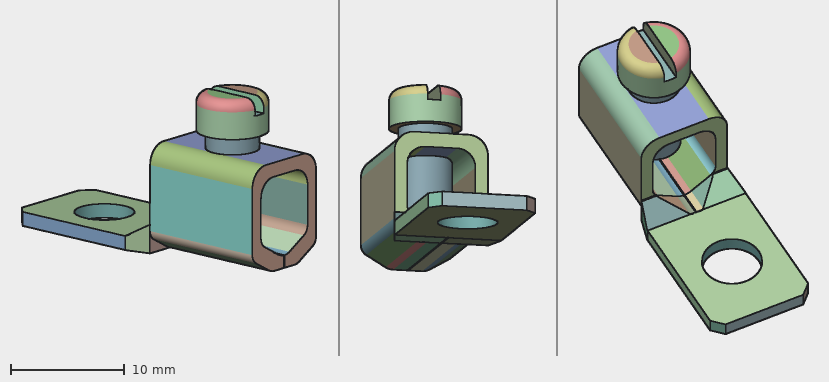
import cadquery as cq
import math

total_length = 27.4
hole_axis_y = -0.08
seam_gap = 0.08

tongue_length = 13.02
tongue_width = 9.7
tongue_thickness = 1.3
tongue_chamfer = 1.01
stud_hole_diameter = 5.3
stud_hole_x = 6.38

sleeve_length = 12.0
sleeve_width = 8.5
sleeve_height = 9.9
side_wall = 1.15
top_wall = 1.3
floor_thickness = 1.15
floor_slope = math.radians(30)
outer_top_radius = 1.8
inner_top_radius = 1.65
knee_radius = 1.0
floor_radius = 1.37
outer_knee_z = 1.48
sleeve_start = total_length - sleeve_length

wedge_height = 2.58
wedge_land = 0.1

screw_x = total_length - sleeve_length / 2
shank_diameter = 4.77
head_diameter = 6.4
shank_bottom_z = 2.47
head_bottom_z = 11.5
head_top_z = 15.0
head_radius = 1.0
slot_width = 1.15
slot_depth = 1.5


def extrude_along_x(points, x_start, x_end):
    """Prism with the given (y, z) outline between two X positions."""
    return cq.Workplane("YZ", origin=(x_start, 0, 0)).polyline(points).close().extrude(x_end - x_start)


def round_edges_at(body, height, radius):
    """Round the edges that run along X at the given height."""
    tolerance = 0.003
    edges = body.edges("|X").filter(lambda edge: abs(edge.Center().z - height) < tolerance)
    return body.newObject(edges.vals()).fillet(radius)


def make_bore():
    """Inside space of the sleeve, which also runs through the wedges."""
    half_width = sleeve_width / 2 - side_wall
    rounding_rise = floor_radius * (1 / math.cos(floor_slope) - 1)
    valley_z = floor_thickness - rounding_rise
    knee_z = valley_z + half_width * math.tan(floor_slope)
    ceiling_z = sleeve_height - top_wall
    outline = [
        (0, valley_z),
        (half_width, knee_z),
        (half_width, ceiling_z),
        (-half_width, ceiling_z),
        (-half_width, knee_z),
    ]
    bore = extrude_along_x(outline, tongue_length, total_length)
    bore = round_edges_at(bore, ceiling_z, inner_top_radius)
    bore = round_edges_at(bore, knee_z, knee_radius)
    return round_edges_at(bore, valley_z, floor_radius)


def make_tongue():
    tongue = cq.Workplane("XY").box(
        tongue_length, tongue_width, tongue_thickness, centered=(False, True, False)
    )
    tongue = tongue.edges("|Z and <X").chamfer(tongue_chamfer)
    hole = (
        cq.Workplane("XY")
        .center(stud_hole_x, hole_axis_y)
        .circle(stud_hole_diameter / 2)
        .extrude(tongue_thickness)
    )
    return tongue.cut(hole)


def make_sleeve(bore):
    half_width = sleeve_width / 2
    foot_y = half_width - outer_knee_z / math.tan(floor_slope)
    outline = [
        (foot_y, 0),
        (half_width, outer_knee_z),
        (half_width, sleeve_height),
        (-half_width, sleeve_height),
        (-half_width, outer_knee_z),
        (-foot_y, 0),
    ]
    sleeve = extrude_along_x(outline, sleeve_start, total_length)
    sleeve = round_edges_at(sleeve, sleeve_height, outer_top_radius)
    sleeve = round_edges_at(sleeve, outer_knee_z, knee_radius)
    sleeve = round_edges_at(sleeve, 0, floor_radius)
    seam = cq.Workplane("XY", origin=(sleeve_start, 0, 0)).box(
        sleeve_length, seam_gap, sleeve_height / 2, centered=(False, True, False)
    )
    screw_hole = (
        cq.Workplane("XY", origin=(screw_x, hole_axis_y, sleeve_height / 2))
        .circle(shank_diameter / 2)
        .extrude(sleeve_height / 2)
    )
    return sleeve.cut(bore).cut(seam).cut(screw_hole)


def make_wedge(side, bore):
    """One wedge; side is +1 or -1 for the half at positive or negative Y."""
    plan = [
        (tongue_length, side * seam_gap / 2),
        (tongue_length, side * tongue_width / 2),
        (tongue_length + wedge_land, side * tongue_width / 2),
        (sleeve_start, side * sleeve_width / 2),
        (sleeve_start, side * seam_gap / 2),
    ]
    profile = [
        (tongue_length, 0),
        (tongue_length, tongue_thickness),
        (sleeve_start - wedge_land, wedge_height),
        (sleeve_start, wedge_height),
        (sleeve_start, 0),
    ]
    wedge = cq.Workplane("XY").polyline(plan).close().extrude(wedge_height)
    ramp = cq.Workplane("XZ").polyline(profile).close().extrude(tongue_width / 2, both=True)
    return wedge.intersect(ramp).cut(bore)


def make_screw():
    shank = (
        cq.Workplane("XY", origin=(screw_x, hole_axis_y, shank_bottom_z))
        .circle(shank_diameter / 2)
        .extrude(head_bottom_z - shank_bottom_z)
    )
    head = (
        cq.Workplane("XY", origin=(screw_x, hole_axis_y, head_bottom_z))
        .circle(head_diameter / 2)
        .extrude(head_top_z - head_bottom_z)
        .faces(">Z")
        .edges()
        .fillet(head_radius)
    )
    slot = cq.Workplane("XY", origin=(screw_x, hole_axis_y, head_top_z - slot_depth)).box(
        head_diameter, slot_width, slot_depth, centered=(True, True, False)
    )
    return shank.union(head).cut(slot)


bore = make_bore()
tongue = make_tongue()
sleeve = make_sleeve(bore)
wedges = [make_wedge(side, bore) for side in (1, -1)]
screw = make_screw()

result = cq.Compound.makeCompound(
    [body.solids().val() for body in (tongue, sleeve, *wedges, screw)]
)